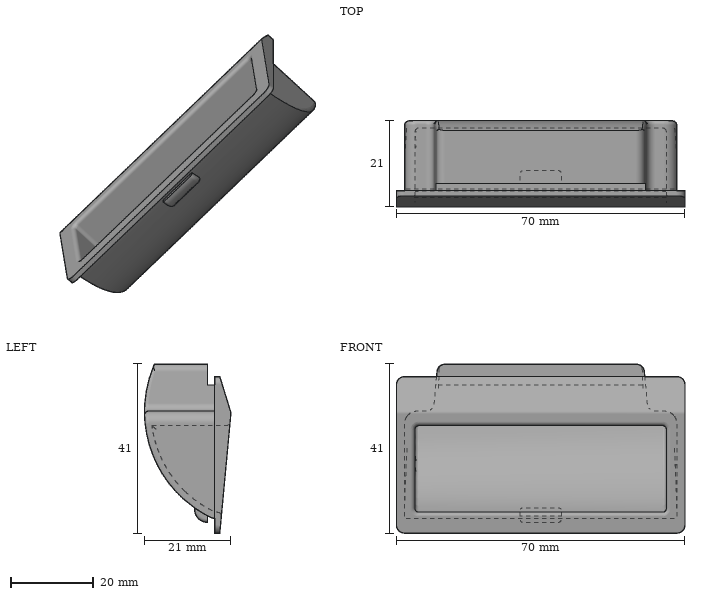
import cadquery as cq
import math


bezel_width = 70.0
bezel_height = 38.0
bezel_edge = 1.3
bezel_peak = 4.02
ridge_height = 29.2
ridge_radius = 1.5
bezel_corner_radius = 2.0

bezel_side_margin = 2.0
housing_width = bezel_width - 2 * bezel_side_margin
housing_depth = 17.0
housing_top = 41.0
housing_bottom = 3.6
back_radius = 28.5
back_center_z = 29.5
shoulder_height = 29.6
shoulder_radius = 3.0
back_edge_radius = 1.0
fillet_back_radius = back_radius + 2.0

tab_top_width = 50.0
tab_draft = 5.0
tab_root_radius = 2.0
tab_corner_radius = 2.0
notch_depth = 1.65
notch_floor = 36.0

wall = 1.6
pocket_width = 61.0
pocket_bottom = 5.1
pocket_top = 26.1
pocket_edge_radius = 1.0
rim_radius = 1.0

edge_search = 0.5

nub_width = 10.0
nub_radius = 3.2
nub_front = 1.65
nub_center_z = 5.8
nub_edge_radius = 0.8


def back_cylinder(radius, deepest):
    """Cylinder along X that reaches the depth `deepest` at the height of the back's centre."""
    return (
        cq.Workplane("YZ")
        .center(deepest - radius, back_center_z)
        .circle(radius)
        .extrude(bezel_width / 2, both=True)
    )


def make_bezel():
    profile = [
        (0, 0),
        (-bezel_edge, 0),
        (-bezel_peak, ridge_height),
        (-bezel_edge, bezel_height),
        (0, bezel_height),
    ]
    bezel = cq.Workplane("YZ").polyline(profile).close().extrude(bezel_width / 2, both=True)
    bezel = bezel.edges("|X").edges("<Y").fillet(ridge_radius)
    return bezel.edges("|Y").fillet(bezel_corner_radius)


def round_long_edge(body, x, z, radius):
    """Fillet the edge that runs along Y through the point (x, z)."""
    around = cq.selectors.BoxSelector(
        (x - edge_search, -edge_search, z - edge_search),
        (x + edge_search, 2 * housing_depth, z + edge_search),
    )
    return body.edges("|Y").edges(around).fillet(radius)


def make_outline_prism(top):
    """Housing outline up to the height `top`, pulled back from Y = 0 to full depth."""
    tab_flare = math.tan(math.radians(tab_draft))
    tab_root_x = tab_top_width / 2 + (housing_top - shoulder_height) * tab_flare
    right_side = [
        (housing_width / 2, housing_bottom),
        (housing_width / 2, shoulder_height),
        (tab_root_x, shoulder_height),
        (tab_root_x - (top - shoulder_height) * tab_flare, top),
    ]
    left_side = [(-x, z) for x, z in reversed(right_side)]
    prism = (
        cq.Workplane("XZ")
        .polyline(right_side + left_side)
        .close()
        .extrude(-housing_depth)
    )
    for side in (-1, 1):
        prism = round_long_edge(prism, side * tab_root_x, shoulder_height, tab_root_radius)
        prism = round_long_edge(prism, side * housing_width / 2, shoulder_height, shoulder_radius)
    return prism


def make_housing():
    blank = make_outline_prism(housing_top + tab_corner_radius)
    blank = blank.intersect(back_cylinder(fillet_back_radius, housing_depth))
    back_side_edges = cq.selectors.BoxSelector(
        (-housing_width, housing_depth / 2, housing_bottom),
        (housing_width, 2 * housing_depth, shoulder_height - shoulder_radius),
    )
    blank = blank.edges("<X or >X").edges(back_side_edges).fillet(back_edge_radius)

    outline = make_outline_prism(housing_top).edges("|Y").edges(">Z").fillet(tab_corner_radius)
    housing = blank.intersect(outline).intersect(back_cylinder(back_radius, housing_depth))

    notch = (
        cq.Workplane("XY")
        .box(housing_width, notch_depth, housing_top - notch_floor, centered=(True, False, False))
        .translate((0, 0, notch_floor))
    )
    return housing.cut(notch)


def make_pocket():
    pocket_reach = housing_depth + bezel_peak
    block = (
        cq.Workplane("XY")
        .box(pocket_width, pocket_reach, pocket_top - pocket_bottom, centered=(True, False, False))
        .translate((0, -bezel_peak, pocket_bottom))
    )
    pocket = block.intersect(back_cylinder(back_radius - wall, housing_depth - wall))
    return pocket.faces("<X or >X").edges("not <Y").fillet(pocket_edge_radius)


def make_nub():
    nub = (
        cq.Workplane("YZ")
        .center(nub_front, nub_center_z)
        .circle(nub_radius)
        .extrude(nub_width / 2, both=True)
        .faces("<X or >X")
        .edges()
        .fillet(nub_edge_radius)
    )
    rear_half = (
        cq.Workplane("XY")
        .box(nub_width, nub_radius, 2 * nub_radius, centered=(True, False, True))
        .translate((0, nub_front, nub_center_z))
    )
    return nub.intersect(rear_half)


def round_rim(body):
    """Round the pocket's mouth where it meets the sloping bezel face."""
    mouth = cq.selectors.BoxSelector(
        (-pocket_width / 2 - rim_radius, -2 * bezel_peak, bezel_corner_radius),
        (pocket_width / 2 + rim_radius, -bezel_edge, pocket_top + rim_radius),
    )
    return body.edges(mouth).fillet(rim_radius)


body = make_bezel().union(make_housing()).union(make_nub()).cut(make_pocket())
result = round_rim(body)